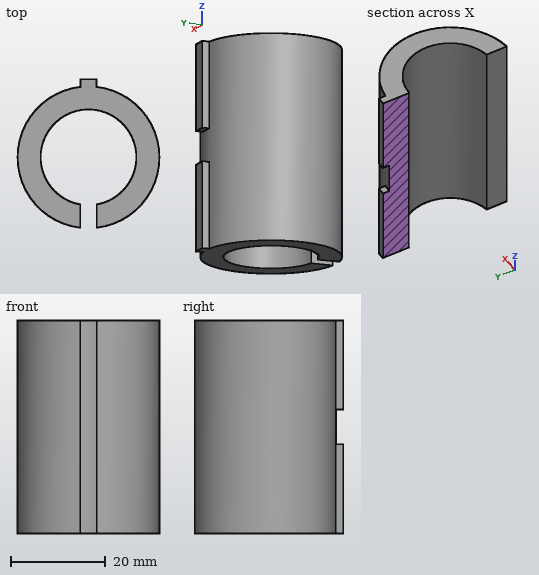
import cadquery as cq

length = 45.0
outer_radius = 15.0
bore_radius = 10.1

slit_width = 3.45

key_width = slit_width
key_outer_y = 16.5
key_depth = 6.0
key_gap = 7.3
key_length = (length - key_gap) / 2


def split_sleeve():
    tube = cq.Workplane("XY").circle(outer_radius).circle(bore_radius).extrude(length)
    slit = (
        cq.Workplane("XY")
        .box(slit_width, outer_radius, length, centered=(True, False, False))
        .translate((0, -outer_radius, 0))
    )
    return tube.cut(slit)


def key(bottom_z):
    return (
        cq.Workplane("XY")
        .box(key_width, key_depth, key_length, centered=(True, False, False))
        .translate((0, key_outer_y - key_depth, bottom_z))
    )


result = split_sleeve()
for bottom_z in (0, length - key_length):
    result = result.union(key(bottom_z))